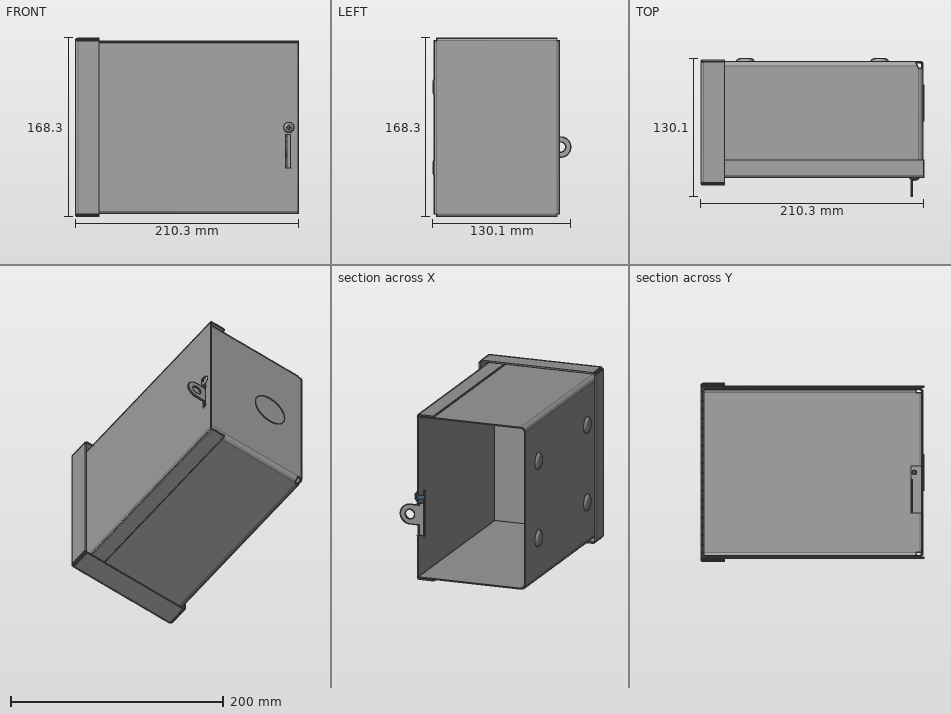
import cadquery as cq


SHEET = 1.5
BEND = 2.3

LENGTH = 210.3
CAP_DEPTH = 118.2
CAP_HEIGHT = 168.3
CAP_FLANGE = 22.3
CORNER_GAP = 2.3

DOOR_FRONT = 7.0
DOOR_FLANGE = 16.8
DOOR_HEIGHT = 162.8
DOOR_INNER = DOOR_FRONT + SHEET

KNOCKOUT_DIAMETER = 34.3
KNOCKOUT_RISE = 0.6
KNOCKOUT_Y = 77.5

HOUSING_LEFT = SHEET
HOUSING_RIGHT = LENGTH - KNOCKOUT_RISE
HOUSING_BACK = CAP_DEPTH - SHEET
HOUSING_HEIGHT = DOOR_HEIGHT - 2 * SHEET
HOUSING_BEND = 4.6
HOUSING_BACK_BEND = 3.2
RELIEF_LENGTH = 7.4
RELIEF_WIDTH = 6.3

BOSS_BASE_DIAMETER = 16.8
BOSS_TOP_DIAMETER = 8.0
BOSS_RISE = 2.7
BOSS_SPACING_X = 126.6
BOSS_SPACING_Z = 76.1

SCREW_X = 201.3
SCREW_DIAMETER = 4.2
HEAD_DIAMETER = 9.7
HEAD_RISE = 2.5
RECESS_SPAN = 4.2
RECESS_WIDTH = 1.3
RECESS_DEPTH = 1.5

SLOT_LEFT = 198.3
SLOT_WIDTH = 4.6
SLOT_TOP = -6.7
SLOT_HEIGHT = 31.5
SLOT_BOTTOM = SLOT_TOP - SLOT_HEIGHT
TAB_RADIUS = 9.7
TAB_HOLE_DIAMETER = 9.5
TAB_Y = -1.0
TAB_Z = -18.5
WEB_DEPTH = 6.0
HASP_BACK = DOOR_INNER + WEB_DEPTH
HASP_TOP = 6.3


def block(x0, x1, y0, y1, z0, z1):
    """Box between two opposite corners."""
    return cq.Workplane("XY").box(x1 - x0, y1 - y0, z1 - z0, centered=False).translate((x0, y0, z0))


def cylinder_y(diameter, x, z, y0, y1):
    """Cylinder along Y."""
    return cq.Workplane("XZ", origin=(x, y0, z)).circle(diameter / 2).extrude(y0 - y1)


def make_cap():
    half = CAP_HEIGHT / 2
    cap = block(0, CAP_FLANGE, 0, CAP_DEPTH, -half, half).faces("<X").edges().fillet(BEND)
    inside_half = half - SHEET
    cap = cap.cut(block(SHEET, CAP_FLANGE, SHEET, CAP_DEPTH - SHEET, -inside_half, inside_half))
    for y in (0, CAP_DEPTH - CORNER_GAP):
        for z in (-half, half - CORNER_GAP):
            cap = cap.cut(block(0, CAP_FLANGE, y, y + CORNER_GAP, z, z + CORNER_GAP))
    return cap


def make_door():
    half = DOOR_HEIGHT / 2
    inside_half = half - SHEET
    flange_end = DOOR_FRONT + DOOR_FLANGE
    door = block(HOUSING_LEFT, LENGTH, DOOR_FRONT, flange_end, -half, half)
    door = door.edges("|X and <Y").fillet(BEND)
    door = door.cut(block(HOUSING_LEFT, LENGTH, DOOR_INNER, flange_end, -inside_half, inside_half))
    slot = block(SLOT_LEFT, SLOT_LEFT + SLOT_WIDTH, DOOR_FRONT, DOOR_INNER, SLOT_BOTTOM, SLOT_TOP)
    screw_hole = cylinder_y(SCREW_DIAMETER, SCREW_X, 0, DOOR_FRONT, DOOR_INNER)
    return door.cut(slot).cut(screw_hole)


def bent_box(inset):
    """Housing envelope shrunk by an inset, with its bends rounded."""
    half = HOUSING_HEIGHT / 2 - inset
    left = HOUSING_LEFT + inset
    right = HOUSING_RIGHT - inset
    envelope = block(left, right, DOOR_INNER, HOUSING_BACK - inset, -half, half)
    box = envelope.edges("|X and >Y").fillet(HOUSING_BEND - inset)
    box = box.intersect(envelope.edges("|Y and >X").fillet(HOUSING_BEND - inset))
    return box.intersect(envelope.edges("|Z and >X and >Y").fillet(HOUSING_BACK_BEND - inset))


def corner_relief(z0):
    """Cutter that opens the corner where three bends meet."""
    outline = [
        (HOUSING_RIGHT - RELIEF_LENGTH, HOUSING_BACK),
        (HOUSING_RIGHT - HOUSING_BEND, HOUSING_BACK - RELIEF_WIDTH),
        (HOUSING_RIGHT, HOUSING_BACK - RELIEF_WIDTH),
        (HOUSING_RIGHT, HOUSING_BACK),
    ]
    return cq.Workplane("XY", origin=(0, 0, z0)).polyline(outline).close().extrude(HOUSING_BEND)


def mounting_boss(x, z):
    """Flat-topped boss with a rounded flank, standing on the housing back."""
    profile = (
        cq.Workplane("XY")
        .lineTo(0, BOSS_RISE)
        .lineTo(BOSS_TOP_DIAMETER / 2, BOSS_RISE)
        .tangentArcPoint((BOSS_BASE_DIAMETER / 2, 0), relative=False)
        .close()
    )
    return profile.revolve(360, (0, 0), (0, 1)).translate((x, HOUSING_BACK, z))


def make_housing():
    housing = bent_box(0).cut(bent_box(SHEET))
    half = HOUSING_HEIGHT / 2
    for z in (-half, half - HOUSING_BEND):
        housing = housing.cut(corner_relief(z))
    for x_side in (-1, 1):
        for z_side in (-1, 1):
            x = LENGTH / 2 + x_side * BOSS_SPACING_X / 2
            housing = housing.union(mounting_boss(x, z_side * BOSS_SPACING_Z / 2))
    knockout = (
        cq.Workplane("YZ", origin=(HOUSING_RIGHT, KNOCKOUT_Y, 0))
        .circle(KNOCKOUT_DIAMETER / 2)
        .extrude(KNOCKOUT_RISE)
    )
    return housing.union(knockout)


def make_hasp():
    web = block(SLOT_LEFT, SLOT_LEFT + SHEET, DOOR_INNER, HASP_BACK, SLOT_BOTTOM, SLOT_TOP)
    neck = block(SLOT_LEFT, SLOT_LEFT + SHEET, TAB_Y, DOOR_INNER, TAB_Z - TAB_RADIUS, TAB_Z + TAB_RADIUS)
    tab_plane = cq.Workplane("YZ", origin=(SLOT_LEFT, TAB_Y, TAB_Z))
    tab = tab_plane.circle(TAB_RADIUS).extrude(SHEET)
    hole = tab_plane.circle(TAB_HOLE_DIAMETER / 2).extrude(SHEET)
    foot = block(SLOT_LEFT, HOUSING_RIGHT - SHEET, HASP_BACK - SHEET, HASP_BACK, SLOT_BOTTOM, HASP_TOP)
    screw_hole = cylinder_y(SCREW_DIAMETER, SCREW_X, 0, HASP_BACK - SHEET, HASP_BACK)
    return web.union(neck).union(tab).union(foot).cut(hole).cut(screw_hole)


def make_screw():
    head_top = DOOR_FRONT - HEAD_RISE
    radius = HEAD_DIAMETER / 2
    sphere_radius = (radius**2 + HEAD_RISE**2) / (2 * HEAD_RISE)
    envelope = cylinder_y(HEAD_DIAMETER, SCREW_X, 0, head_top, DOOR_FRONT)
    ball = cq.Workplane("XY").sphere(sphere_radius).translate((SCREW_X, head_top + sphere_radius, 0))
    head = envelope.intersect(ball)
    for span_x, span_z in ((RECESS_SPAN, RECESS_WIDTH), (RECESS_WIDTH, RECESS_SPAN)):
        arm = cq.Workplane("XZ", origin=(SCREW_X, head_top, 0)).rect(span_x, span_z).extrude(-RECESS_DEPTH)
        head = head.cut(arm)
    return head.union(cylinder_y(SCREW_DIAMETER, SCREW_X, 0, DOOR_FRONT, HASP_BACK))


housing = make_housing()
cap = make_cap()
door = make_door()
hasp = make_hasp()
screw = make_screw()

bodies = [housing, cap, door, hasp, screw]
result = cq.Compound.makeCompound([body.solids().val() for body in bodies])